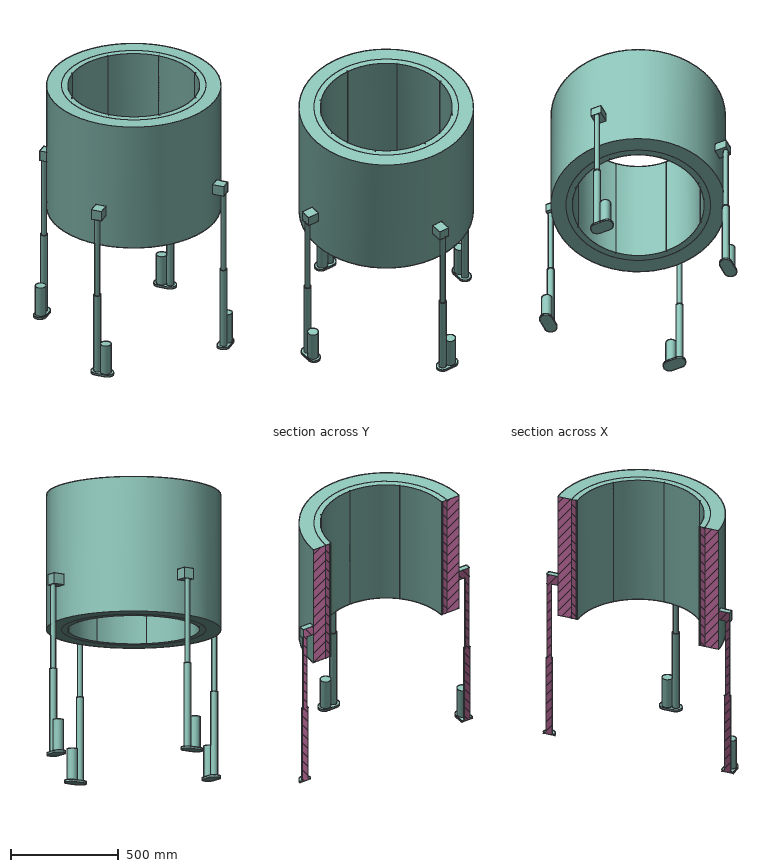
import cadquery as cq

TOTAL_HEIGHT = 1290.0
OVERALL_WIDTH = 957.0

RING_HEIGHT = 640.0
SHELL_RADIUS = 405.0
LINER_RADIUS = 335.0
BORE_RADIUS = 306.0
RING_BOTTOM = TOTAL_HEIGHT - RING_HEIGHT

GROOVE_COUNT = 8
GROOVE_WIDTH = 0.6
GROOVE_DEPTH = 6.0

LEG_COUNT = 4
FOOT_WIDTH = 59.0
FOOT_AXIS_SPACING = 50.0
FOOT_THICKNESS = 10.0
MOTOR_DIAMETER = 50.0
MOTOR_OFFSET = 43.0
MOTOR_TOP = 160.0
SLEEVE_DIAMETER = 34.0
SLEEVE_TOP = 410.0
ROD_DIAMETER = 25.0
BLOCK_SIZE = 50.0
BLOCK_BOTTOM = 810.0
LEG_AXIS_RADIUS = (OVERALL_WIDTH - FOOT_WIDTH) / 2
BLOCK_END_RADIUS = LEG_AXIS_RADIUS + ROD_DIAMETER / 2


def tube(outer_radius, inner_radius):
    """Plain tube over the full height of the ring."""
    return (
        cq.Workplane("XY", origin=(0, 0, RING_BOTTOM))
        .circle(outer_radius)
        .circle(inner_radius)
        .extrude(RING_HEIGHT)
    )


def make_liner():
    """Tube with evenly spaced upright grooves in its bore."""
    groove_radius = BORE_RADIUS + GROOVE_DEPTH
    upright_grooves = (
        cq.Workplane("XY", origin=(0, 0, RING_BOTTOM))
        .polarArray(groove_radius / 2, 0, 360, GROOVE_COUNT)
        .rect(groove_radius, GROOVE_WIDTH)
        .extrude(RING_HEIGHT)
    )
    return tube(LINER_RADIUS, BORE_RADIUS).cut(upright_grooves)


def upright_cylinder(x, y, diameter, bottom, top):
    """Solid cylinder along Z between two heights."""
    return cq.Workplane("XY", origin=(x, y, bottom)).circle(diameter / 2).extrude(top - bottom)


def make_leg():
    """Leg on the -Y side of the ring, with its motor towards +X."""
    axis_y = -LEG_AXIS_RADIUS
    foot = (
        cq.Workplane("XY", origin=(FOOT_AXIS_SPACING / 2, axis_y, 0))
        .slot2D(FOOT_AXIS_SPACING + FOOT_WIDTH, FOOT_WIDTH)
        .extrude(FOOT_THICKNESS)
    )
    motor = upright_cylinder(MOTOR_OFFSET, axis_y, MOTOR_DIAMETER, FOOT_THICKNESS, MOTOR_TOP)
    sleeve = upright_cylinder(0, axis_y, SLEEVE_DIAMETER, FOOT_THICKNESS, SLEEVE_TOP)
    rod = upright_cylinder(0, axis_y, ROD_DIAMETER, SLEEVE_TOP, BLOCK_BOTTOM)

    inner_end_radius = SHELL_RADIUS - BLOCK_SIZE / 2
    block_length = BLOCK_END_RADIUS - inner_end_radius
    block_center = (0, -(BLOCK_END_RADIUS + inner_end_radius) / 2, BLOCK_BOTTOM)
    block = (
        cq.Workplane("XY", origin=block_center)
        .rect(BLOCK_SIZE, block_length)
        .extrude(BLOCK_SIZE)
        .cut(upright_cylinder(0, 0, 2 * SHELL_RADIUS, RING_BOTTOM, TOTAL_HEIGHT))
    )
    return foot.union(motor).union(sleeve).union(rod).union(block)


shell = tube(SHELL_RADIUS, LINER_RADIUS)
liner = make_liner()
first_leg = make_leg()
legs = []
for index in range(LEG_COUNT):
    legs.append(first_leg.rotate((0, 0, 0), (0, 0, 1), index * 360 / LEG_COUNT).val())

result = cq.Compound.makeCompound([shell.val(), liner.val(), *legs])